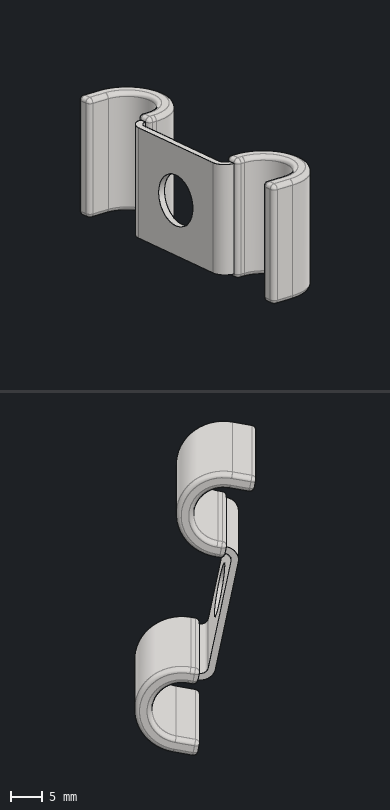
import cadquery as cq

length = 49.95
depth = 11.5
sheet = 1.2
coating = 0.8
strip_height = 19.0
clip_radius = 7.55
bend_inner_radius = 1.2
hole_diameter = 8.7

clip_wall = sheet + 2 * coating
clip_inner_radius = clip_radius - clip_wall
clip_height = strip_height + 2 * coating
clip_x = length / 2 - clip_radius
plate_y = clip_radius - depth
bend_outer_radius = bend_inner_radius + sheet
bend_start_y = plate_y + bend_outer_radius
strip_outer_x = clip_x - clip_radius + coating + sheet
bend_center_x = strip_outer_x - bend_outer_radius


def extrude_centered(profile, height):
    return profile.extrude(height / 2, both=True)


def clip(side):
    """Hook with a long outer leg, a short inner leg and all edges rounded."""
    outer_x = side * length / 2
    outer_leg_inside_x = side * (clip_x + clip_inner_radius)
    inner_leg_inside_x = side * (clip_x - clip_inner_radius)
    inner_x = side * (clip_x - clip_radius)
    center_x = side * clip_x
    profile = (
        cq.Workplane("XY")
        .moveTo(outer_x, plate_y)
        .lineTo(outer_x, 0)
        .threePointArc((center_x, clip_radius), (inner_x, 0))
        .lineTo(inner_x, bend_start_y)
        .lineTo(inner_leg_inside_x, bend_start_y)
        .lineTo(inner_leg_inside_x, 0)
        .threePointArc((center_x, clip_inner_radius), (outer_leg_inside_x, 0))
        .lineTo(outer_leg_inside_x, plate_y)
        .close()
    )
    return extrude_centered(profile, clip_height).edges().fillet(coating)


def strip():
    """Flat plate with both ends bent up into the clips."""
    strip_inner_x = strip_outer_x - sheet
    plate_top_y = plate_y + sheet
    profile = (
        cq.Workplane("XY")
        .moveTo(-strip_outer_x, 0)
        .lineTo(-strip_outer_x, bend_start_y)
        .radiusArc((-bend_center_x, plate_y), -bend_outer_radius)
        .lineTo(bend_center_x, plate_y)
        .radiusArc((strip_outer_x, bend_start_y), -bend_outer_radius)
        .lineTo(strip_outer_x, 0)
        .lineTo(strip_inner_x, 0)
        .lineTo(strip_inner_x, bend_start_y)
        .radiusArc((bend_center_x, plate_top_y), bend_inner_radius)
        .lineTo(-bend_center_x, plate_top_y)
        .radiusArc((-strip_inner_x, bend_start_y), bend_inner_radius)
        .lineTo(-strip_inner_x, 0)
        .close()
    )
    return extrude_centered(profile, strip_height)


hole = extrude_centered(cq.Workplane("XZ").circle(hole_diameter / 2), 2 * depth)

result = strip().cut(hole)
for side in (-1, 1):
    result = result.union(clip(side))